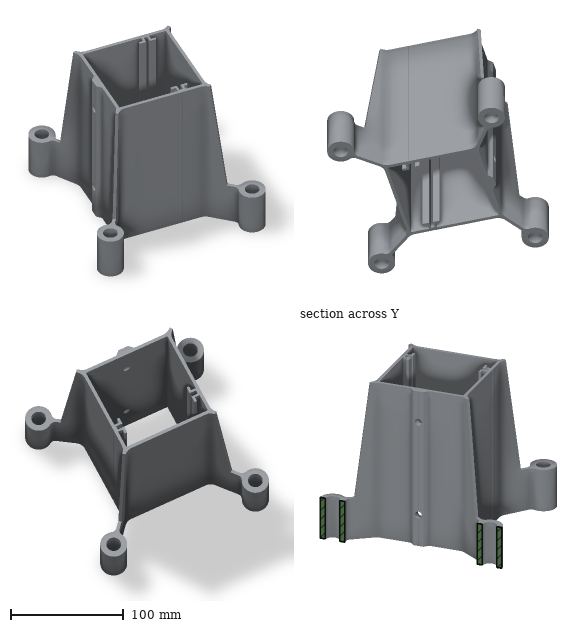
import cadquery as cq
import math

TUBE_HEIGHT = 150.0
TUBE_OUTER = 86.5
TUBE_WALL = 3.0
HALF_OUTER = TUBE_OUTER / 2
HALF_INNER = HALF_OUTER - TUBE_WALL

BOSS_HEIGHT = 40.0
BOSS_DIAMETER = 24.0
BOLT_DIAMETER = 13.0
BACK_BOSS_CENTRE = (70.0, 75.0)
FRONT_BOSS_CENTRE = (75.0, -64.5)

RIB_THICKNESS = 3.0
RIB_TUBE_FILLET = 10.0
RIB_BOSS_FILLET = 5.0
BACK_RIB_TOP_LENGTH = 3.1
FRONT_RIB_TOP_LENGTH = 4.3
RIB_SHOULDER_LENGTH = 18.3

PAD_BASE_WIDTH = 17.6
PAD_FACE_WIDTH = 9.6
PAD_DEPTH = 4.0
PAD_EDGE_FILLET = 1.0
SCREW_DIAMETER = 6.65
SCREW_HEIGHTS = (30.0, 120.0)

RAIL_Y = 20.0
RAIL_DEPTH = 7.0
RAIL_SLOT_WIDTH = 3.5
RAIL_SLOT_FLOOR_THICKNESS = 0.8
RAIL_WEB_THICKNESS = 2.0
RAIL_WIDTH = 16.0
RAIL_FLANGE_THICKNESS = 2.4
RAIL_FILLET = 0.5

GROOVE_WIDTH = 1.0
GROOVE_DEPTH = 0.3


def corner_of(boss_centre):
    """Outer tube corner nearest to a boss."""
    return tuple(math.copysign(HALF_OUTER, value) for value in boss_centre)


def rib_angle(boss_centre):
    corner_x, corner_y = corner_of(boss_centre)
    return math.degrees(math.atan2(boss_centre[1] - corner_y, boss_centre[0] - corner_x))


def rib_span(boss_centre):
    """Distance from the tube corner to the boss centre."""
    return math.dist(corner_of(boss_centre), boss_centre)


def place_on_rib(shape, boss_centre):
    """Move a shape drawn along +X from the origin onto a rib, starting at its tube corner."""
    corner_x, corner_y = corner_of(boss_centre)
    turned = shape.rotate((0, 0, 0), (0, 0, 1), rib_angle(boss_centre))
    return turned.translate((corner_x, corner_y, 0))


def mirrored_pair(centre):
    return [centre, (-centre[0], centre[1])]


def vertical_edges_near(body, point, reach):
    """Vertical edges no further than the reach from a point, along X and along Y."""
    x, y = point
    box = cq.selectors.BoxSelector((x - reach, y - reach, 0), (x + reach, y + reach, TUBE_HEIGHT))
    return body.edges("|Z").edges(box)


def make_outer_body(boss_centres):
    """Full-height block, ribs and bosses with every rib junction filleted."""
    body = cq.Workplane("XY").rect(TUBE_OUTER, TUBE_OUTER).extrude(TUBE_HEIGHT)
    for centre in boss_centres:
        rib_length = rib_span(centre) + TUBE_WALL
        rib = (
            cq.Workplane("XY")
            .center(rib_length / 2 - TUBE_WALL, 0)
            .rect(rib_length, RIB_THICKNESS)
            .extrude(TUBE_HEIGHT)
        )
        boss = cq.Workplane("XY").center(*centre).circle(BOSS_DIAMETER / 2).extrude(TUBE_HEIGHT)
        body = body.union(place_on_rib(rib, centre)).union(boss)

    for centre in boss_centres:
        corner = corner_of(centre)
        angle = math.radians(rib_angle(centre))
        junction = (
            centre[0] - BOSS_DIAMETER / 2 * math.cos(angle),
            centre[1] - BOSS_DIAMETER / 2 * math.sin(angle),
        )
        body = vertical_edges_near(body, corner, RIB_THICKNESS).fillet(RIB_TUBE_FILLET)
        body = vertical_edges_near(body, junction, RIB_THICKNESS).fillet(RIB_BOSS_FILLET)
    return body


def make_rib_relief(boss_centre, top_length):
    """Space above a boss and the sloping outer end of its rib."""
    far_end = rib_span(boss_centre) + BOSS_DIAMETER
    relief = (
        cq.Workplane("XZ")
        .moveTo(top_length, TUBE_HEIGHT)
        .lineTo(RIB_SHOULDER_LENGTH, BOSS_HEIGHT)
        .lineTo(far_end, BOSS_HEIGHT)
        .lineTo(far_end, TUBE_HEIGHT)
        .close()
        .extrude(BOSS_DIAMETER, both=True)
    )
    return place_on_rib(relief, boss_centre)


def add_screw_pad(part):
    """Tapered pad on the front wall with all four long edges rounded."""
    wall_y = -HALF_OUTER
    face_y = wall_y - PAD_DEPTH
    pad = (
        cq.Workplane("XY")
        .moveTo(-PAD_BASE_WIDTH / 2, wall_y)
        .lineTo(-PAD_FACE_WIDTH / 2, face_y)
        .lineTo(PAD_FACE_WIDTH / 2, face_y)
        .lineTo(PAD_BASE_WIDTH / 2, wall_y)
        .close()
        .extrude(TUBE_HEIGHT)
    )
    part = part.union(pad)
    for side in (-1, 1):
        for corner in ((side * PAD_BASE_WIDTH / 2, wall_y), (side * PAD_FACE_WIDTH / 2, face_y)):
            part = vertical_edges_near(part, corner, PAD_EDGE_FILLET).fillet(PAD_EDGE_FILLET)
    return part


def make_rail():
    """Rail on the +X wall: two flanged webs joined by a raised slot floor."""
    face_x = HALF_INNER - RAIL_DEPTH
    flange_back_x = face_x + RAIL_FLANGE_THICKNESS
    half_slot = RAIL_SLOT_WIDTH / 2
    rail = (
        cq.Workplane("XY")
        .center(HALF_INNER - RAIL_SLOT_FLOOR_THICKNESS / 2, RAIL_Y)
        .rect(RAIL_SLOT_FLOOR_THICKNESS, RAIL_SLOT_WIDTH)
        .extrude(TUBE_HEIGHT)
    )
    for side in (1, -1):
        slot_side_y = RAIL_Y + side * half_slot
        web_back_y = slot_side_y + side * RAIL_WEB_THICKNESS
        flange_tip_y = RAIL_Y + side * RAIL_WIDTH / 2
        arm = (
            cq.Workplane("XY")
            .moveTo(HALF_INNER, slot_side_y)
            .lineTo(face_x, slot_side_y)
            .lineTo(face_x, flange_tip_y)
            .lineTo(flange_back_x, flange_tip_y)
            .lineTo(flange_back_x, web_back_y)
            .lineTo(HALF_INNER, web_back_y)
            .close()
            .extrude(TUBE_HEIGHT)
        )
        for corner in ((face_x, flange_tip_y), (flange_back_x, flange_tip_y), (flange_back_x, web_back_y)):
            arm = vertical_edges_near(arm, corner, RAIL_FILLET).fillet(RAIL_FILLET)
        rail = rail.union(arm)
    return rail


def make_groove(x, y, outward_angle):
    """V-groove cutter on a face whose outward normal points at the given angle."""
    return (
        cq.Workplane("XY")
        .moveTo(0, -GROOVE_WIDTH / 2)
        .lineTo(-GROOVE_DEPTH, 0)
        .lineTo(0, GROOVE_WIDTH / 2)
        .close()
        .extrude(TUBE_HEIGHT)
        .rotate((0, 0, 0), (0, 0, 1), outward_angle)
        .translate((x, y, 0))
    )


def make_screw_holes():
    """Holes through the pad and the front wall."""
    return (
        cq.Workplane("XZ", origin=(0, -HALF_INNER, 0))
        .pushPoints([(0, height) for height in SCREW_HEIGHTS])
        .circle(SCREW_DIAMETER / 2)
        .extrude(TUBE_WALL + PAD_DEPTH)
    )


def build_part():
    back_bosses = mirrored_pair(BACK_BOSS_CENTRE)
    front_bosses = mirrored_pair(FRONT_BOSS_CENTRE)
    bosses = back_bosses + front_bosses

    part = make_outer_body(bosses)
    for centre in back_bosses:
        part = part.cut(make_rib_relief(centre, BACK_RIB_TOP_LENGTH))
    for centre in front_bosses:
        part = part.cut(make_rib_relief(centre, FRONT_RIB_TOP_LENGTH))

    bolt_holes = cq.Workplane("XY").pushPoints(bosses).circle(BOLT_DIAMETER / 2).extrude(BOSS_HEIGHT)
    bore = cq.Workplane("XY").rect(2 * HALF_INNER, 2 * HALF_INNER).extrude(TUBE_HEIGHT)
    part = part.cut(bolt_holes).cut(bore)

    part = add_screw_pad(part).cut(make_screw_holes())
    part = part.cut(make_groove(0, -HALF_OUTER - PAD_DEPTH, -90))

    rail = make_rail()
    part = part.union(rail).union(rail.mirror("YZ"))
    part = part.cut(make_groove(HALF_OUTER, RAIL_Y, 0))
    part = part.cut(make_groove(-HALF_OUTER, RAIL_Y, 180))
    return part


result = build_part()